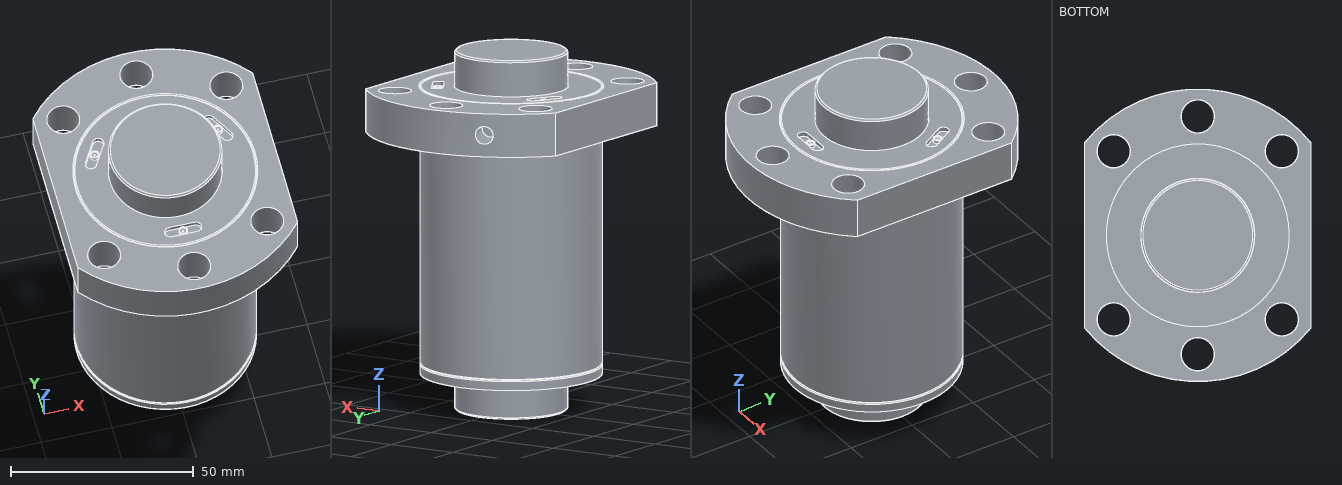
import cadquery as cq
import math

shaft_length = 100.0
shaft_diameter = 31.0
shaft_chamfer = 0.5

body_diameter = 50.0
body_length = 80.0
body_top = body_length / 2
body_bottom = -body_length / 2

body_groove_width = 0.6
body_groove_depth = 0.3
end_cap_height = 2.8
body_groove_middle = body_bottom + end_cap_height

flange_diameter = 80.0
flange_width = 62.0
flange_thickness = 12.0

bolt_hole_diameter = 9.0
bolt_circle_radius = 32.5
bolt_angles = (45, 90, 135, 225, 270, 315)

port_diameter = 4.9
port_depth = 10.0
port_angle = (bolt_angles[1] + bolt_angles[2]) / 2

clearance_diameter = 31.2
clearance_depth = 1.0
seam_width = 0.6
seam_depth = 0.3

slot_count = 3
slot_first_angle = 30
slot_radius = 20.1
slot_width = 3.1
slot_length = 10.3
slot_depth = 1.4
pin_diameter = 2.4
pin_height = 1.0
socket_diameter = 2.0
socket_depth = 0.3
centre_hole_diameter = 0.3
centre_hole_depth = 0.3


def polar(radius, angle):
    """Point in the XY plane at a radius and an angle in degrees."""
    turn = math.radians(angle)
    return (radius * math.cos(turn), radius * math.sin(turn))


def disc(diameter, bottom, height):
    """Upright cylinder on the Z axis."""
    return cq.Workplane("XY").workplane(offset=bottom).circle(diameter / 2).extrude(height)


def ring(outer_diameter, inner_diameter, bottom, height):
    """Upright tube on the Z axis."""
    sketch = cq.Workplane("XY").workplane(offset=bottom)
    return sketch.circle(outer_diameter / 2).circle(inner_diameter / 2).extrude(height)


def revolve_triangle(corners):
    """Ring with a triangular section, given as (radius, height) corners."""
    return cq.Workplane("XZ").polyline(corners).close().revolve(360, (0, 0), (0, 1))


def make_body_groove():
    radius = body_diameter / 2
    return revolve_triangle([
        (radius, body_groove_middle - body_groove_width / 2),
        (radius, body_groove_middle + body_groove_width / 2),
        (radius - body_groove_depth, body_groove_middle),
    ])


def make_seam():
    radius = body_diameter / 2
    return revolve_triangle([
        (radius - seam_width / 2, body_top),
        (radius + seam_width / 2, body_top),
        (radius, body_top - seam_depth),
    ])


def make_shaft():
    return disc(shaft_diameter, -shaft_length / 2, shaft_length).faces("<Z or >Z").chamfer(shaft_chamfer)


def make_flange():
    round_plate = disc(flange_diameter, body_top - flange_thickness, flange_thickness)
    flats = cq.Workplane("XY").box(flange_width, flange_diameter, shaft_length)
    return round_plate.intersect(flats)


def make_bolt_holes():
    centres = [polar(bolt_circle_radius, angle) for angle in bolt_angles]
    sketch = cq.Workplane("XY").workplane(offset=body_top).pushPoints(centres)
    return sketch.circle(bolt_hole_diameter / 2).extrude(-flange_thickness)


def make_port():
    rim_x, rim_y = polar(flange_diameter / 2, port_angle)
    rim_point = cq.Vector(rim_x, rim_y, body_top - flange_thickness / 2)
    inward = cq.Vector(-rim_x, -rim_y, 0)
    return cq.Workplane(cq.Solid.makeCylinder(port_diameter / 2, port_depth, rim_point, inward))


def make_slot(angle):
    """Straight slot across a radius, less the pin that stands on its floor."""
    floor = body_top - slot_depth
    slot = cq.Workplane("XY").workplane(offset=floor).slot2D(slot_length, slot_width, 90).extrude(slot_depth)
    socket_floor = floor + pin_height - socket_depth
    pin = disc(pin_diameter, floor, pin_height).cut(disc(socket_diameter, socket_floor, socket_depth))
    pin = pin.cut(disc(centre_hole_diameter, socket_floor - centre_hole_depth, centre_hole_depth))
    cutter = slot.cut(pin).translate((slot_radius, 0, 0))
    return cutter.rotate((0, 0, 0), (0, 0, 1), angle)


result = disc(body_diameter, body_bottom, body_length).union(make_flange()).union(make_shaft())

result = result.cut(make_bolt_holes()).cut(make_port())

for clearance_bottom in (body_top - clearance_depth, body_bottom):
    result = result.cut(ring(clearance_diameter, shaft_diameter, clearance_bottom, clearance_depth))

result = result.cut(make_seam()).cut(make_body_groove())

for index in range(slot_count):
    result = result.cut(make_slot(slot_first_angle + index * 360 / slot_count))